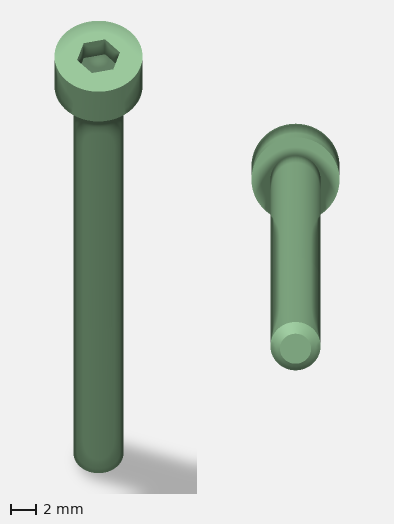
import cadquery as cq
import math

total_length = 54.0
head_diameter = 7.0
shank_diameter = 4.0
head_height = shank_diameter
shank_length = total_length - head_height
tip_chamfer_height = 0.75
tip_chamfer_width = 0.75
thread_length = 20.0
socket_across_flats = 3.0
socket_depth = head_height / 2


def make_head():
    return cq.Workplane("XY").circle(head_diameter / 2).extrude(head_height)


def make_shank():
    """Plain upper length of the screw, down to the threaded length."""
    plain_length = shank_length - thread_length
    return cq.Workplane("XY").circle(shank_diameter / 2).extrude(-plain_length)


def make_threaded_end():
    """Threaded length as a smooth cylinder with a chamfered tip."""
    return (
        cq.Workplane("XY", origin=(0, 0, -shank_length))
        .circle(shank_diameter / 2)
        .extrude(thread_length)
        .faces("<Z")
        .chamfer(tip_chamfer_height, tip_chamfer_width)
    )


def make_hex_socket():
    """Hexagonal drive recess with two corners on the X axis."""
    across_corners = socket_across_flats / math.cos(math.pi / 6)
    return (
        cq.Workplane("XY", origin=(0, 0, head_height))
        .polygon(6, across_corners)
        .extrude(-socket_depth)
    )


result = (
    make_head()
    .union(make_shank())
    .union(make_threaded_end())
    .cut(make_hex_socket())
)